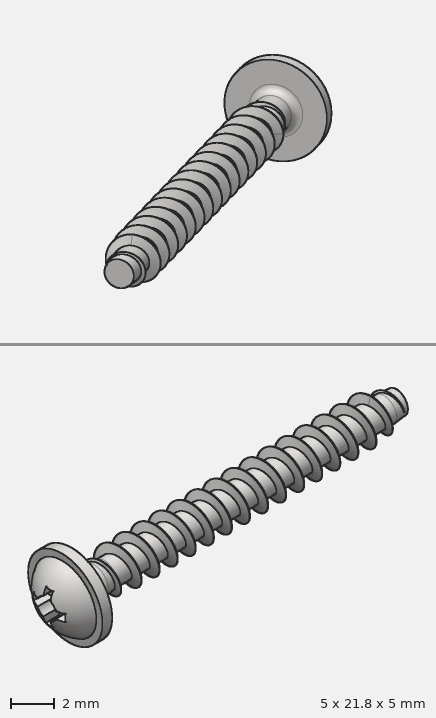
import cadquery as cq
import math


total_length = 21.75
shank_length = 20.0
head_height = total_length - shank_length

flange_radius = 2.5
flange_thickness = 0.6
dome_base_radius = 2.09

recess_pocket_radius = 0.65
recess_wing_span = 2.13
recess_wing_width = 0.48
recess_depth = 0.98

neck_radius = 0.91
neck_length = 1.22
neck_fillet = 0.4
neck_taper_length = 0.65
core_radius = 1.59 / 2
tip_radius = 0.72
tip_taper_length = 0.78

crest_radius = 1.28
root_radius = 0.67
run_in_radius = 0.87
run_out_radius = 0.76
root_width = 0.37
crest_width = 0.05
end_width_ratio = 0.3
thread_start_y = -0.95
taper_turns = 1.25
full_turns = 14.25
thread_length = 18.78
pitch = thread_length / (full_turns + 2 * taper_turns)
points_per_turn = 16
start_angle = -90


def make_head():
    """Flange with a spherical dome, the recess rim being the highest edge left on the dome."""
    rim_square = recess_pocket_radius**2 + head_height**2
    base_square = dome_base_radius**2 + flange_thickness**2
    centre_y = (rim_square - base_square) / (2 * (head_height - flange_thickness))
    sphere_radius = math.hypot(dome_base_radius, flange_thickness - centre_y)
    profile = (
        cq.Workplane("XY")
        .lineTo(flange_radius, 0)
        .lineTo(flange_radius, flange_thickness)
        .lineTo(dome_base_radius, flange_thickness)
        .threePointArc((recess_pocket_radius, head_height), (0, centre_y + sphere_radius))
        .close()
    )
    return profile.revolve(360, (0, 0), (0, 1))


def make_recess():
    """Round pocket with four wings, cut down into the dome."""
    cutter_height = 2 * recess_depth
    floor = cq.Workplane("XZ", origin=(0, head_height - recess_depth, 0))
    pocket = floor.circle(recess_pocket_radius).extrude(-cutter_height)
    wings_x = floor.rect(recess_wing_span, recess_wing_width).extrude(-cutter_height)
    wings_z = floor.rect(recess_wing_width, recess_wing_span).extrude(-cutter_height)
    return pocket.union(wings_x).union(wings_z)


def make_shank():
    """Filleted neck, tapering to the thread core and again to the flat tip."""
    fillet_middle = neck_fillet * (1 - math.sqrt(0.5))
    profile = (
        cq.Workplane("XY")
        .lineTo(neck_radius + neck_fillet, 0)
        .threePointArc(
            (neck_radius + fillet_middle, -fillet_middle),
            (neck_radius, -neck_fillet),
        )
        .lineTo(neck_radius, -neck_length)
        .lineTo(core_radius, -neck_length - neck_taper_length)
        .lineTo(core_radius, tip_taper_length - shank_length)
        .lineTo(tip_radius, -shank_length)
        .lineTo(0, -shank_length)
        .close()
    )
    return profile.revolve(360, (0, 0), (0, 1))


def thread_edge(turns, radii, offsets):
    """Right-handed helix whose radius and axial offset change evenly from start to end."""
    first_turn, last_turn = turns
    count = math.ceil((last_turn - first_turn) * points_per_turn)
    points = []
    for i in range(count + 1):
        share = i / count
        turn = first_turn + share * (last_turn - first_turn)
        radius = radii[0] + share * (radii[1] - radii[0])
        offset = offsets[0] + share * (offsets[1] - offsets[0])
        angle = math.radians(start_angle) + 2 * math.pi * turn
        y = thread_start_y - pitch * turn + offset
        points.append(cq.Vector(radius * math.cos(angle), y, radius * math.sin(angle)))
    return cq.Edge.makeSpline(points)


def thread_section(turns, crest_radii, width_ratios):
    """Stretch of trapezoidal thread, given the crest radius and width ratio at its two ends."""
    corners = (
        ((root_radius, root_radius), root_width / 2),
        (crest_radii, crest_width / 2),
        (crest_radii, -crest_width / 2),
        ((root_radius, root_radius), -root_width / 2),
    )
    edges = []
    for radii, offset in corners:
        offsets = [offset * ratio for ratio in width_ratios]
        edges.append(thread_edge(turns, radii, offsets))
    faces = []
    for i, edge in enumerate(edges):
        faces.append(cq.Face.makeRuledSurface(edges[i - 1], edge))
    for position in (0, 1):
        corner_points = [edge.positionAt(position) for edge in edges]
        faces.append(cq.Face.makeFromWires(cq.Wire.makePolygon(corner_points, close=True)))
    return cq.Solid.makeSolid(cq.Shell.makeShell(faces))


def make_thread():
    """Run-in, full thread and run-out, end to end."""
    full_start = taper_turns
    full_end = full_start + full_turns
    thread_end = full_end + taper_turns
    return (
        thread_section((0, full_start), (run_in_radius, crest_radius), (end_width_ratio, 1)),
        thread_section((full_start, full_end), (crest_radius, crest_radius), (1, 1)),
        thread_section((full_end, thread_end), (crest_radius, run_out_radius), (1, end_width_ratio)),
    )


screw = make_head().cut(make_recess()).union(make_shank())
for section in make_thread():
    screw = screw.union(cq.Workplane(section))
result = cq.Workplane(screw.solids().val())